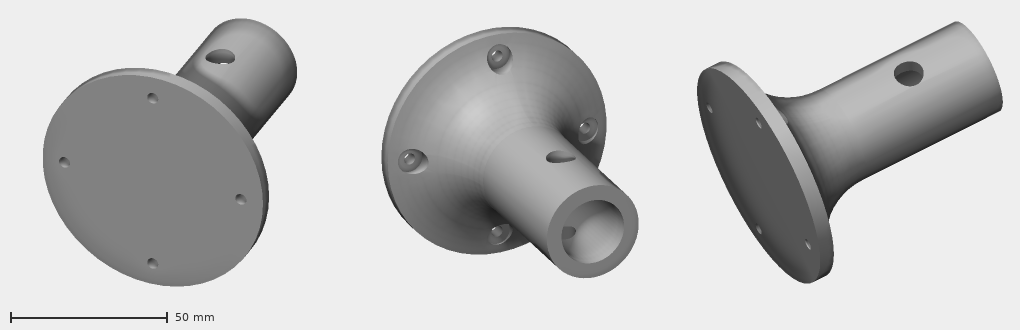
import cadquery as cq
import math

flange_diameter = 76.2
flange_thickness = 5.08
total_length = 81.28
tube_diameter = 32.0
tube_length = 50.8
bore_diameter = 21.8
bore_depth = tube_length
pin_hole_diameter = 9.525
pin_hole_from_end = 25.4
screw_count = 4
screw_circle_diameter = 60.96
screw_hole_diameter = 3.81
screw_head_diameter = 8.8

flange_radius = flange_diameter / 2
tube_radius = tube_diameter / 2
tube_start = total_length - tube_length
flare_height = tube_start - flange_thickness
flare_width = flange_radius - tube_radius
flare_radius = (flare_height**2 + flare_width**2) / (2 * flare_width)


def make_body():
    """Solid of revolution: flange, concave flare and straight tube."""
    half_sweep = math.asin(flare_height / flare_radius) / 2
    flare_middle = (
        tube_radius + flare_radius * (1 - math.cos(half_sweep)),
        tube_start - flare_radius * math.sin(half_sweep),
    )
    return (
        cq.Workplane("XY")
        .lineTo(flange_radius, 0)
        .lineTo(flange_radius, flange_thickness)
        .threePointArc(flare_middle, (tube_radius, tube_start))
        .lineTo(tube_radius, total_length)
        .lineTo(0, total_length)
        .close()
        .revolve(360, (0, 0, 0), (0, 1, 0))
    )


def y_cylinder(diameter, start, end, x=0, z=0):
    """Cylinder parallel to Y between two Y positions."""
    base = cq.Vector(x, start, z)
    return cq.Workplane(cq.Solid.makeCylinder(diameter / 2, end - start, base, cq.Vector(0, 1, 0)))


def make_pin_hole():
    """Cross hole along Z through both walls of the tube."""
    base = cq.Vector(0, total_length - pin_hole_from_end, -tube_radius)
    return cq.Workplane(cq.Solid.makeCylinder(pin_hole_diameter / 2, tube_diameter, base))


def cut_screw_holes(body):
    """Screw holes through the flange, with head clearance sunk down through the flare."""
    for index in range(screw_count):
        angle = math.radians(index * 360 / screw_count)
        x = screw_circle_diameter / 2 * math.cos(angle)
        z = screw_circle_diameter / 2 * math.sin(angle)
        body = body.cut(y_cylinder(screw_hole_diameter, 0, tube_start, x, z))
        body = body.cut(y_cylinder(screw_head_diameter, flange_thickness, tube_start, x, z))
    return body


body = make_body()
body = body.cut(y_cylinder(bore_diameter, total_length - bore_depth, total_length))
body = body.cut(make_pin_hole())
result = cut_screw_holes(body)